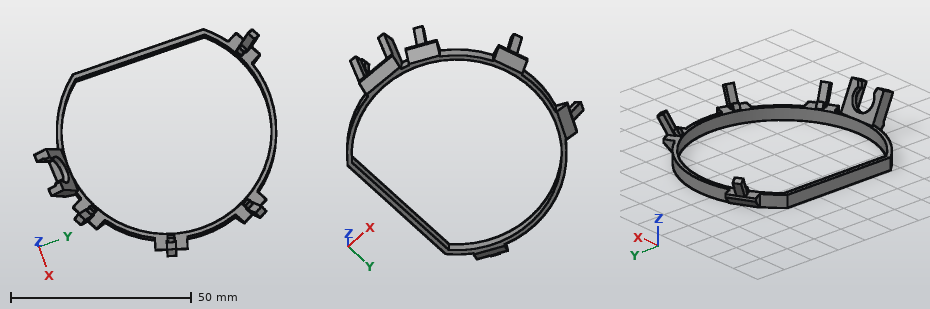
import cadquery as cq
import math

ring_outer_radius = 30.5
ring_inner_radius = 29.1
ring_height = 4.0
flat_distance = 23.65
flat_wall = 1.55

pad_reach = 33.5
pad_edge_height = 1.0
pad_width = 9.0
pad_root_radius = 28.1

post_angles = (118, 28, -17, -62)
post_lean = 30
post_width = 2.5
post_thickness = 2.0
post_top = 10.1
stop_width = 2.0
stop_thickness = 1.25
stop_top = 5.8
stop_inner_radius = 29.6
stop_rounding = 0.5

clip_angle = -87
clip_lean = 25
clip_width = 12.6
clip_thickness = 4.0
clip_top = 13.5
arm_width = 2.1
recess_depth = 2.3
bore_radius = 3.965
bore_floor = 0.3
lip_height = 2.45
mouth_top_width = 7.6

root_overlap = 0.7


def flatted_disc(radius, flat, height):
    """Disc cut off by a flat at X = -flat."""
    half_chord = math.sqrt(radius**2 - flat**2)
    return (
        cq.Workplane("XY")
        .moveTo(-flat, -half_chord)
        .threePointArc((radius, 0), (-flat, half_chord))
        .close()
        .extrude(height)
    )


def radial_profile(points, width):
    """Extrude a (radius, Z) outline evenly to both sides of the +X direction."""
    return cq.Workplane("XZ").polyline(points).close().extrude(width / 2, both=True)


def pad(width):
    edge_bottom = ring_height - pad_edge_height
    return radial_profile(
        [
            (pad_root_radius, 0),
            (pad_reach - edge_bottom, 0),
            (pad_reach, edge_bottom),
            (pad_reach, ring_height),
            (pad_root_radius, ring_height),
        ],
        width,
    )


def lean_plane(foot_radius, lean):
    """Plane square to the lean; local X is tangential, Y points inward, Z up the slope."""
    angle = math.radians(lean)
    return cq.Plane(
        origin=(foot_radius, 0, ring_height),
        xDir=(0, 1, 0),
        normal=(math.sin(angle), 0, math.cos(angle)),
    )


def slope_length(top, thickness, lean):
    """Length up the outer face of a leaning bar whose inner top edge is at Z = top."""
    angle = math.radians(lean)
    return (top - ring_height - thickness * math.sin(angle)) / math.cos(angle)


def leaning_bar(foot_radius, lean, width, thickness, top):
    """Square-ended bar whose outer face leaves the ring top at foot_radius."""
    length = slope_length(top, thickness, lean)
    return (
        cq.Workplane(lean_plane(foot_radius, lean))
        .workplane(offset=-root_overlap - thickness)
        .center(0, thickness / 2)
        .rect(width, thickness)
        .extrude(length + root_overlap + thickness)
    )


def above_ring(body):
    """Keep only the portion of a body above the middle of the pad rim."""
    floor = ring_height - pad_edge_height / 2
    size = 4 * ring_outer_radius
    keep = cq.Workplane("XY").workplane(offset=floor).rect(size, size).extrude(size)
    return body.intersect(keep)


def post_with_stop():
    post = leaning_bar(pad_reach, post_lean, post_width, post_thickness, post_top)
    stop_foot = stop_inner_radius + stop_thickness / math.cos(math.radians(post_lean))
    stop = leaning_bar(stop_foot, post_lean, stop_width, stop_thickness, stop_top)
    stop_length = slope_length(stop_top, stop_thickness, post_lean)
    top_centre = lean_plane(stop_foot, post_lean).toWorldCoords((0, stop_thickness / 2, stop_length))
    for side in (-1, 1):
        side_edge = top_centre + cq.Vector(0, side * stop_width / 2, 0)
        stop = stop.edges(cq.selectors.NearestToPointSelector(side_edge.toTuple())).fillet(stop_rounding)
    return pad(pad_width).union(above_ring(post)).union(above_ring(stop))


def clip():
    body = above_ring(leaning_bar(pad_reach, clip_lean, clip_width, clip_thickness, clip_top))
    length = slope_length(clip_top, clip_thickness, clip_lean)
    foot = lean_plane(pad_reach, clip_lean)

    recess_width = clip_width - 2 * arm_width
    recess = cq.Workplane(foot).center(0, recess_depth / 2).rect(recess_width, recess_depth).extrude(length)

    seat_plane = cq.Plane(origin=foot.origin, xDir=foot.xDir, normal=-foot.yDir)
    seat_height = bore_floor + bore_radius
    lip_half = math.sqrt(bore_radius**2 - lip_height**2)
    seat = (
        cq.Workplane(seat_plane)
        .moveTo(-lip_half, seat_height + lip_height)
        .threePointArc((0, bore_floor), (lip_half, seat_height + lip_height))
        .lineTo(mouth_top_width / 2, length)
        .lineTo(-mouth_top_width / 2, length)
        .close()
        .extrude(-clip_thickness)
    )
    return pad(clip_width).union(body.cut(recess).cut(seat))


def at_angle(body, angle):
    return body.rotate((0, 0, 0), (0, 0, 1), angle)


result = flatted_disc(ring_outer_radius, flat_distance, ring_height)
for post_angle in post_angles:
    result = result.union(at_angle(post_with_stop(), post_angle))
result = result.union(at_angle(clip(), clip_angle))

bore = flatted_disc(ring_inner_radius, flat_distance - flat_wall, ring_height)
result = result.cut(bore)